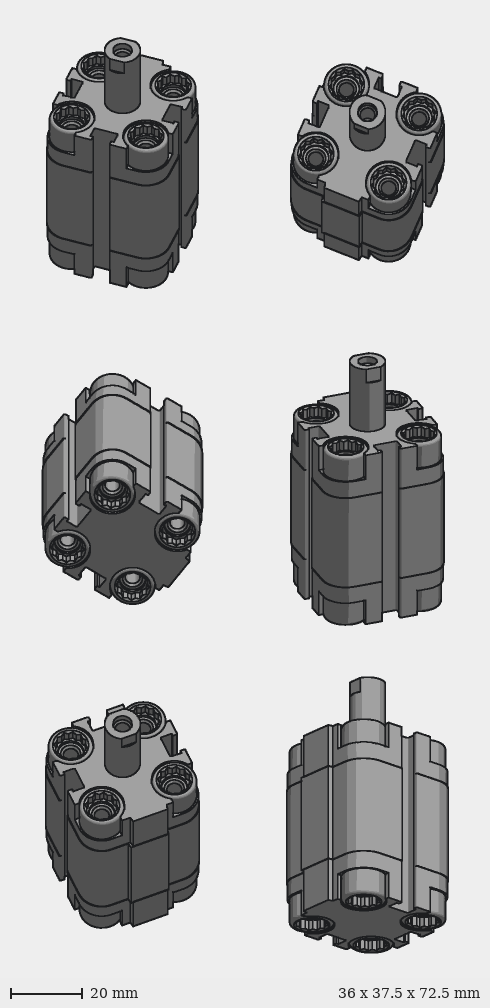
import cadquery as cq
import math

BODY_HEIGHT = 53.0
CAP_HEIGHT = 12.5
ROD_TOP = 72.5

BARREL_WIDTH = 36.0
CORNER_RADIUS = 7.0
CAP_SETBACK = 0.2

RIB_TOP_HALF_WIDTH = 5.7
RIB_BASE_HALF_WIDTH = 5.95
RIB_HEIGHT = 1.5
RIB_RIGHT_EXTRA_SETBACK = 0.5

SLOT_MOUTH_WIDTH = 5.4
SLOT_WIDTH = 7.0
SLOT_FLOOR = 13.0
SLOT_LIP_INNER = 16.4
SLOT_FLOOR_RADIUS = 0.4
SLOT_MOUTH_RADIUS = 0.35
SLOT_TURNS = (-90, 0, 90)

BOSS_OFFSET = BARREL_WIDTH / 2 - CORNER_RADIUS
BOSS_DIAMETER = 12.5
BOSS_HEIGHT = 7.5
BOSS_EDGE_RADIUS = 1.0
POCKET_DIAMETER = 12.75
POCKET_INNER = 7.75

SOCKET_MOUTH_DIAMETER = 10.0
SOCKET_COUNTERSINK_SLOPE = 30.0
SOCKET_ACROSS_FLATS = 8.0
SOCKET_STAR_TURN = 30
SOCKET_DEPTH = 3.3
RELIEF_DIAMETER = 7.2
RELIEF_DEPTH = 4.2
CONE_DIAMETER = 5.5
BOSS_BORE_DIAMETER = 4.13

ROD_DIAMETER = 10.0
ROD_ACROSS_FLATS = 9.0
ROD_FLAT_HEIGHT = 4.2
ROD_COUNTERBORE_DIAMETER = 5.3
ROD_COUNTERBORE_DEPTH = 2.0
ROD_BORE_DIAMETER = 4.13
ROD_BORE_DEPTH = 12.0
DRILL_POINT_ANGLE = 118.0

BOSS_POINTS = [
    (x * BOSS_OFFSET, y * BOSS_OFFSET) for x in (-1, 1) for y in (-1, 1)
]


def rib(setback, right_setback, bottom, height):
    """Tapered rib along the +Y side, trimmed by the setbacks."""
    base_y = BARREL_WIDTH / 2 - setback
    return (
        cq.Workplane("XY", origin=(0, 0, bottom))
        .moveTo(-RIB_BASE_HALF_WIDTH + setback, 0)
        .lineTo(-RIB_BASE_HALF_WIDTH + setback, base_y)
        .lineTo(-RIB_TOP_HALF_WIDTH + setback, base_y + RIB_HEIGHT)
        .lineTo(RIB_TOP_HALF_WIDTH - right_setback, base_y + RIB_HEIGHT)
        .lineTo(RIB_BASE_HALF_WIDTH - right_setback, base_y)
        .lineTo(RIB_BASE_HALF_WIDTH - right_setback, 0)
        .close()
        .extrude(height)
    )


def block(setback, right_setback, bottom, height):
    """Rounded square prism with its rib and slot mouths."""
    width = BARREL_WIDTH - 2 * setback
    body = (
        cq.Workplane("XY", origin=(0, 0, bottom))
        .rect(width, width)
        .extrude(height)
        .edges("|Z")
        .fillet(CORNER_RADIUS - setback)
        .union(rib(setback, right_setback, bottom, height))
    )
    for turn in SLOT_TURNS:
        mouth = slot_mouth(width / 2, bottom, height)
        body = body.cut(mouth.rotate((0, 0, 0), (0, 0, 1), turn))
    return body


def slot_mouth(face, bottom, height):
    """Slot opening in the -Y face, flared by a rounding at its outer edges."""
    half = SLOT_MOUTH_WIDTH / 2
    flare = half + SLOT_MOUTH_RADIUS
    bend = SLOT_MOUTH_RADIUS * (1 - math.sqrt(0.5))
    return (
        cq.Workplane("XY", origin=(0, 0, bottom))
        .moveTo(-half, -SLOT_FLOOR)
        .lineTo(-half, -face + SLOT_MOUTH_RADIUS)
        .threePointArc((-half - bend, -face + bend), (-flare, -face))
        .lineTo(flare, -face)
        .threePointArc((half + bend, -face + bend), (half, -face + SLOT_MOUTH_RADIUS))
        .lineTo(half, -SLOT_FLOOR)
        .close()
        .extrude(height)
    )


def slot_chamber():
    """Wide inner part of a slot on the -Y side, over the full height."""
    depth = SLOT_LIP_INNER - SLOT_FLOOR
    return (
        cq.Workplane("XY")
        .center(0, -(SLOT_LIP_INNER + SLOT_FLOOR) / 2)
        .rect(SLOT_WIDTH, depth)
        .extrude(BODY_HEIGHT)
        .edges("|Z and >Y")
        .fillet(SLOT_FLOOR_RADIUS)
    )


def corner_pockets():
    """Recesses at the four corners of one end, reaching down from the top face."""
    bottom = BODY_HEIGHT - BOSS_HEIGHT
    size = BARREL_WIDTH / 2 - POCKET_INNER
    centre = (BARREL_WIDTH / 2 + POCKET_INNER) / 2
    corners = [(x * centre, y * centre) for x in (-1, 1) for y in (-1, 1)]
    boxes = (
        cq.Workplane("XY", origin=(0, 0, bottom))
        .pushPoints(corners)
        .rect(size, size)
        .extrude(BOSS_HEIGHT)
    )
    rounds = (
        cq.Workplane("XY", origin=(0, 0, bottom))
        .pushPoints(BOSS_POINTS)
        .circle(POCKET_DIAMETER / 2)
        .extrude(BOSS_HEIGHT)
    )
    return boxes.union(rounds)


def corner_bosses():
    """Round bosses that stand in the corner pockets, flush with the top face."""
    return (
        cq.Workplane("XY", origin=(0, 0, BODY_HEIGHT - BOSS_HEIGHT))
        .pushPoints(BOSS_POINTS)
        .circle(BOSS_DIAMETER / 2)
        .extrude(BOSS_HEIGHT)
        .faces(">Z")
        .edges()
        .fillet(BOSS_EDGE_RADIUS)
    )


def boss_recess():
    """Countersunk twelve-point socket, relief and bore of a boss, down to mid-height."""
    hexagon_diameter = SOCKET_ACROSS_FLATS / math.cos(math.pi / 6)
    socket_floor = BODY_HEIGHT - SOCKET_DEPTH
    mouth_radius = SOCKET_MOUTH_DIAMETER / 2
    relief_radius = RELIEF_DIAMETER / 2
    cone_radius = CONE_DIAMETER / 2
    bore_radius = BOSS_BORE_DIAMETER / 2
    countersink_depth = (mouth_radius - relief_radius) * math.tan(math.radians(SOCKET_COUNTERSINK_SLOPE))
    relief_floor = BODY_HEIGHT - RELIEF_DEPTH
    recess = (
        cq.Workplane("XZ")
        .moveTo(0, BODY_HEIGHT)
        .lineTo(mouth_radius, BODY_HEIGHT)
        .lineTo(relief_radius, BODY_HEIGHT - countersink_depth)
        .lineTo(relief_radius, relief_floor)
        .lineTo(cone_radius, relief_floor)
        .lineTo(bore_radius, relief_floor - cone_radius + bore_radius)
        .lineTo(bore_radius, BODY_HEIGHT / 2)
        .lineTo(0, BODY_HEIGHT / 2)
        .close()
        .revolve(360, (0, 0, 0), (0, 1, 0))
    )
    hexagon = (
        cq.Workplane("XY", origin=(0, 0, socket_floor))
        .polygon(6, hexagon_diameter)
        .extrude(SOCKET_DEPTH)
    )
    star = hexagon.union(hexagon.rotate((0, 0, 0), (0, 0, 1), SOCKET_STAR_TURN))
    return recess.union(star)


def at_both_ends(tool):
    """The tool and its mirror image about the middle of the body."""
    middle = (0, 0, BODY_HEIGHT / 2)
    return tool, tool.mirror("XY", middle)


def make_housing():
    """Barrel and both end caps in one piece, with slots, corner bosses and the rod bore."""
    barrel_height = BODY_HEIGHT - 2 * CAP_HEIGHT
    body = block(0, 0, CAP_HEIGHT, barrel_height)
    cap_right_setback = CAP_SETBACK + RIB_RIGHT_EXTRA_SETBACK
    for bottom in (0, BODY_HEIGHT - CAP_HEIGHT):
        body = body.union(block(CAP_SETBACK, cap_right_setback, bottom, CAP_HEIGHT))
    for turn in SLOT_TURNS:
        body = body.cut(slot_chamber().rotate((0, 0, 0), (0, 0, 1), turn))
    for pockets in at_both_ends(corner_pockets()):
        body = body.cut(pockets)
    for bosses in at_both_ends(corner_bosses()):
        body = body.union(bosses)
    for recess in at_both_ends(boss_recess()):
        for x, y in BOSS_POINTS:
            body = body.cut(recess.translate((x, y, 0)))
    rod_bore = (
        cq.Workplane("XY", origin=(0, 0, BODY_HEIGHT - CAP_HEIGHT))
        .circle(ROD_DIAMETER / 2)
        .extrude(CAP_HEIGHT)
    )
    return body.cut(rod_bore)


def make_rod():
    """Piston rod that fills the bore of the upper cap, with flats and a stepped blind hole."""
    bottom = BODY_HEIGHT - CAP_HEIGHT
    rod = (
        cq.Workplane("XY", origin=(0, 0, bottom))
        .circle(ROD_DIAMETER / 2)
        .extrude(ROD_TOP - bottom)
    )
    flat_depth = (ROD_DIAMETER - ROD_ACROSS_FLATS) / 2
    flat_centre = (ROD_DIAMETER + ROD_ACROSS_FLATS) / 4
    flats = (
        cq.Workplane("XY", origin=(0, 0, ROD_TOP - ROD_FLAT_HEIGHT))
        .pushPoints([(0, -flat_centre), (0, flat_centre)])
        .rect(ROD_DIAMETER, flat_depth)
        .extrude(ROD_FLAT_HEIGHT)
    )
    wide_radius = ROD_COUNTERBORE_DIAMETER / 2
    bore_radius = ROD_BORE_DIAMETER / 2
    step = ROD_TOP - ROD_COUNTERBORE_DEPTH
    bore_end = ROD_TOP - ROD_BORE_DEPTH
    point_depth = bore_radius / math.tan(math.radians(DRILL_POINT_ANGLE / 2))
    hole = (
        cq.Workplane("XZ")
        .moveTo(0, ROD_TOP)
        .lineTo(wide_radius, ROD_TOP)
        .lineTo(wide_radius, step)
        .lineTo(bore_radius, step - wide_radius + bore_radius)
        .lineTo(bore_radius, bore_end)
        .lineTo(0, bore_end - point_depth)
        .close()
        .revolve(360, (0, 0, 0), (0, 1, 0))
    )
    return rod.cut(flats).cut(hole)


housing = make_housing()
rod = make_rod()
result = cq.Compound.makeCompound([housing.val(), rod.val()])